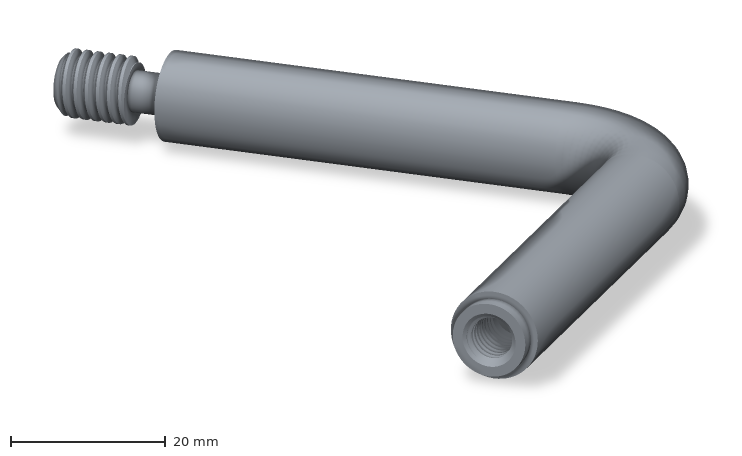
import cadquery as cq
import math

overall_x = 90.0
overall_y = 75.0

bar_diameter = 12.0
bend_radius = 14.0

neck_diameter = 5.5
neck_length = 4.9
stud_length = 10.0
stud_major_diameter = 9.0
stud_minor_diameter = 7.4
stud_tip_diameter = 6.75
stud_pitch = 1.5

spigot_diameter = 10.0
spigot_length = 2.0
hole_depth = 10.0
hole_minor_diameter = 5.5
hole_major_diameter = 6.5
hole_mouth_diameter = 7.3
hole_pitch = 1.0

groove_floor_fraction = 0.15
groove_mouth_fraction = 0.8
thread_overlap = 0.1

bar_radius = bar_diameter / 2
stud_tip_x = bar_radius - overall_x
stud_shoulder_x = stud_tip_x + stud_length
bar_end_x = stud_shoulder_x + neck_length
spigot_end_y = bar_radius - overall_y
bar_end_y = spigot_end_y + spigot_length


def helical_cutter(surface_radius, depth_radius, pitch, length):
    """Right-hand trapezoidal thread cutter about Z, running one pitch past both ends of the length."""
    helix = cq.Wire.makeHelix(pitch, length + 2 * pitch, surface_radius)
    half_mouth = groove_mouth_fraction * pitch / 2
    half_floor = groove_floor_fraction * pitch / 2
    profile = cq.Workplane("XZ").polyline([
        (surface_radius, -half_mouth),
        (depth_radius, -half_floor),
        (depth_radius, half_floor),
        (surface_radius, half_mouth),
    ]).close()
    return profile.sweep(cq.Workplane(helix), isFrenet=True).translate((0, 0, -pitch))


def make_bar():
    corner_offset = bend_radius * (1 - math.sqrt(0.5))
    path = (
        cq.Workplane("XY")
        .moveTo(bar_end_x, 0)
        .lineTo(-bend_radius, 0)
        .threePointArc((-corner_offset, -corner_offset), (0, -bend_radius))
        .lineTo(0, bar_end_y)
    )
    return cq.Workplane("YZ", origin=(bar_end_x, 0, 0)).circle(bar_radius).sweep(path)


def make_stud():
    minor_radius = stud_minor_diameter / 2
    major_radius = stud_major_diameter / 2
    end_allowance = 2 * stud_pitch
    rod = (
        cq.Workplane("XY", origin=(0, 0, -end_allowance))
        .circle(major_radius)
        .extrude(stud_length + 2 * end_allowance)
    )
    envelope_radius = major_radius + thread_overlap
    tip_bevel = envelope_radius - stud_tip_diameter / 2
    envelope = (
        cq.Workplane("XY")
        .circle(envelope_radius)
        .extrude(stud_length)
        .faces("<Z")
        .chamfer(tip_bevel)
    )
    groove = helical_cutter(major_radius + thread_overlap, minor_radius, stud_pitch, stud_length)
    neck = (
        cq.Workplane("XY", origin=(0, 0, stud_length))
        .circle(neck_diameter / 2)
        .extrude(neck_length)
    )
    stud = rod.cut(groove).intersect(envelope).union(neck)
    return stud.rotate((0, 0, 0), (0, 1, 0), 90).translate((stud_tip_x, 0, 0))


def make_spigot():
    return (
        cq.Workplane("XZ", origin=(0, bar_end_y, 0))
        .circle(spigot_diameter / 2)
        .extrude(spigot_length)
    )


def make_threaded_hole():
    """Solid to be removed: a blind bore with a helical groove and a conical mouth."""
    minor_radius = hole_minor_diameter / 2
    major_radius = hole_major_diameter / 2
    mouth_radius = hole_mouth_diameter / 2
    mouth_depth = mouth_radius - minor_radius
    thread_length = hole_depth - 2 * hole_pitch
    bore = cq.Workplane("XY").circle(minor_radius).extrude(hole_depth)
    mouth = (
        cq.Workplane("XZ")
        .polyline([(0, 0), (mouth_radius, 0), (minor_radius, mouth_depth), (0, mouth_depth)])
        .close()
        .revolve(360, (0, 0, 0), (0, 1, 0))
    )
    groove = helical_cutter(minor_radius - thread_overlap, major_radius, hole_pitch, thread_length)
    cutter = bore.union(groove).union(mouth)
    return cutter.rotate((0, 0, 0), (1, 0, 0), -90).translate((0, spigot_end_y, 0))


result = make_bar().union(make_stud()).union(make_spigot()).cut(make_threaded_hole())